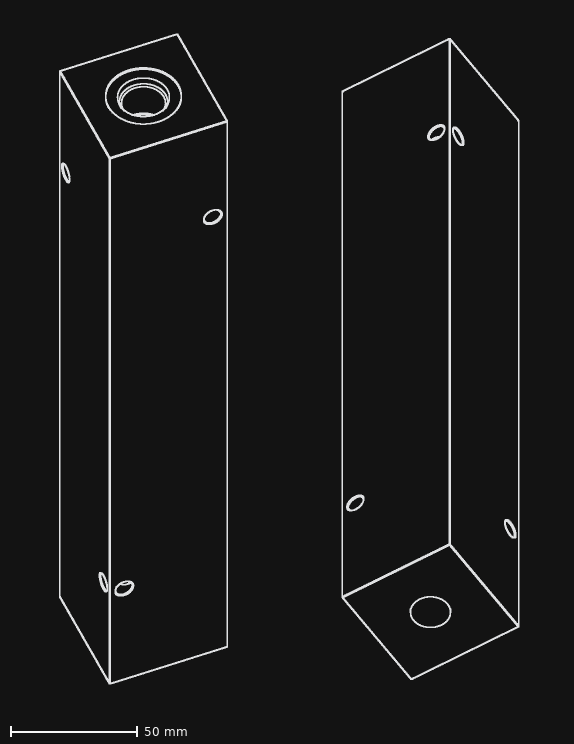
import cadquery as cq

bar_width = 50.8
bar_length = 311.15
edge_chamfer = 0.254

spotface_diameter = 30.0
spotface_depth = 0.8
mouth_diameter = 20.6
mouth_floor_diameter = 19.1
mouth_depth = 2.6
thread_diameter = 17.46
thread_depth = 19.05

bore_diameter = 15.875

cross_hole_diameter = 7.14
cross_hole_chamfer = 0.4
cross_hole_edge_distance = 6.35
cross_hole_spacing = 203.2

top = bar_length / 2
bottom = -top
spotface_floor = top - spotface_depth
mouth_floor = spotface_floor - mouth_depth
lead_in_floor = mouth_floor - (mouth_floor_diameter - thread_diameter) / 2
thread_floor = spotface_floor - thread_depth
cross_hole_offset = bar_width / 2 - cross_hole_edge_distance
cross_hole_height = cross_hole_spacing / 2


def port_and_bore():
    """Stepped cutter on the bar axis, revolved from its half profile."""
    profile = (
        cq.Workplane("XZ")
        .moveTo(0, top)
        .lineTo(spotface_diameter / 2, top)
        .lineTo(spotface_diameter / 2, spotface_floor)
        .lineTo(mouth_diameter / 2, spotface_floor)
        .lineTo(mouth_floor_diameter / 2, mouth_floor)
        .lineTo(thread_diameter / 2, lead_in_floor)
        .lineTo(thread_diameter / 2, thread_floor)
        .lineTo(bore_diameter / 2, thread_floor)
        .lineTo(bore_diameter / 2, bottom)
        .lineTo(0, bottom)
        .close()
    )
    return profile.revolve(360, (0, 0, 0), (0, 1, 0))


def cross_hole(plane, offset, height):
    """Cutter through the full bar width, normal to the plane, flared at both mouths."""
    hole_radius = cross_hole_diameter / 2
    mouth_radius = hole_radius + cross_hole_chamfer
    cutter = cq.Workplane(plane).center(offset, height).circle(hole_radius).extrude(bar_width / 2, both=True)
    for side in (1, -1):
        face = cq.Workplane(plane).workplane(offset=side * bar_width / 2).center(offset, height)
        flare = face.circle(mouth_radius).extrude(-side * cross_hole_chamfer, taper=45)
        cutter = cutter.union(flare)
    return cutter


result = cq.Workplane("XY").box(bar_width, bar_width, bar_length)
result = result.edges().chamfer(edge_chamfer)
result = result.cut(port_and_bore())

for end in (1, -1):
    height = end * cross_hole_height
    result = result.cut(cross_hole("XZ", -end * cross_hole_offset, height))
    result = result.cut(cross_hole("YZ", end * cross_hole_offset, height))